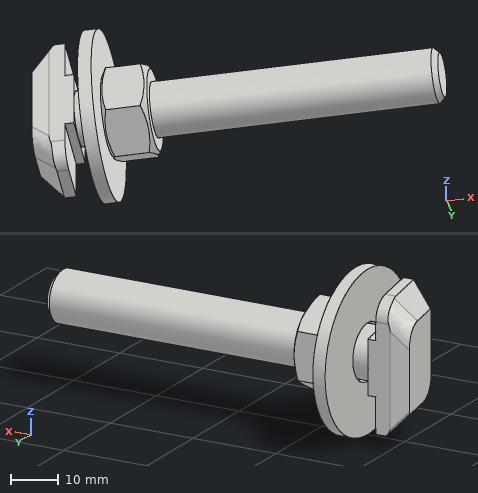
import cadquery as cq
import math

total_length = 87.5
shank_diameter = 12.0
shank_end_chamfer = 1.2

head_width = shank_diameter
head_length = 31.5
head_thickness = 7.4
end_skew = math.tan(math.radians(10))
end_taper_depth = 4.9
end_taper_height = 5.0
side_taper_depth = 4.0
side_taper_width = 1.2
head_corner_radius = 5.0
taper_edge_radius = 0.5

neck_length = 14.7
neck_end = 9.4

washer_diameter = 37.0
washer_hole_diameter = 13.0
washer_start = 12.7
washer_thickness = 3.0
nut_start = washer_start + washer_thickness
nut_thickness = 10.0
nut_across_flats = 19.0
nut_across_corners = nut_across_flats / math.cos(math.radians(30))
nut_face_diameter = 17.5
nut_chamfer_slope = math.tan(math.radians(30))


def cylinder(diameter, start, length):
    return cq.Workplane("YZ", origin=(start, 0, 0)).circle(diameter / 2).extrude(length)


def skewed_outline(half_width, middle_half_length):
    """Parallelogram in Y and Z whose ends rise towards -Y."""
    skew_rise = half_width * end_skew
    return [
        (-half_width, middle_half_length + skew_rise),
        (half_width, middle_half_length - skew_rise),
        (half_width, -middle_half_length - skew_rise),
        (-half_width, -middle_half_length + skew_rise),
    ]


def skewed_block(length, start, end):
    """Prism with the skewed outline; length is measured between the sharp corners."""
    half_width = head_width / 2
    outline = skewed_outline(half_width, length / 2 - half_width * end_skew)
    return cq.Workplane("YZ", origin=(start, 0, 0)).polyline(outline).close().extrude(end - start)


def lengthwise_edges(block, blunt):
    """Edges where the skewed ends meet the sides at an obtuse (blunt) or an acute angle."""

    def is_wanted(edge):
        runs_lengthwise = edge.BoundingBox().xlen > head_thickness / 2
        center = edge.Center()
        return runs_lengthwise and (center.y * center.z > 0) == blunt

    return block.newObject([edge for edge in block.edges().vals() if is_wanted(edge)])


def round_blunt_corners(block):
    return lengthwise_edges(block, blunt=True).fillet(head_corner_radius)


def make_taper():
    """Skewed frustum that widens from the head face through the full head thickness."""
    face_half_width = head_width / 2 - side_taper_width
    face_half_length = head_length / 2 - head_width / 2 * end_skew - end_taper_height
    back_half_width = face_half_width + side_taper_width * head_thickness / side_taper_depth
    back_half_length = face_half_length + end_taper_height * head_thickness / end_taper_depth
    return (
        cq.Workplane("YZ")
        .polyline(skewed_outline(face_half_width, face_half_length))
        .close()
        .workplane(offset=head_thickness)
        .polyline(skewed_outline(back_half_width, back_half_length))
        .close()
        .loft(ruled=True)
    )


def make_head():
    """The straight block limits the frustum, leaving tapers only near the head face."""
    block = round_blunt_corners(skewed_block(head_length, 0, head_thickness))
    taper = round_blunt_corners(make_taper())
    taper = lengthwise_edges(taper, blunt=False).fillet(taper_edge_radius)
    return block.intersect(taper)


def make_nut():
    """Hexagon nut with corners towards +Z and -Z, both faces chamfered."""
    hexagon = (
        cq.Workplane("YZ", origin=(nut_start, 0, 0))
        .polygon(6, nut_across_corners)
        .extrude(nut_thickness)
        .rotate((0, 0, 0), (1, 0, 0), 90)
    )
    face_radius = nut_face_diameter / 2
    corner_radius = nut_across_corners / 2
    chamfer_depth = (corner_radius - face_radius) * nut_chamfer_slope
    nut_end = nut_start + nut_thickness
    profile = [
        (nut_start, 0),
        (nut_start, face_radius),
        (nut_start + chamfer_depth, corner_radius),
        (nut_end - chamfer_depth, corner_radius),
        (nut_end, face_radius),
        (nut_end, 0),
    ]
    envelope = cq.Workplane("XY").polyline(profile).close().revolve(360, (0, 0, 0), (1, 0, 0))
    return hexagon.intersect(envelope)


def make_washer():
    disc = cylinder(washer_diameter, washer_start, washer_thickness)
    return disc.cut(cylinder(washer_hole_diameter, washer_start, washer_thickness))


shank = cylinder(shank_diameter, head_thickness, total_length - head_thickness)
shank = shank.faces(">X").chamfer(shank_end_chamfer)
neck = skewed_block(neck_length, head_thickness, neck_end)

result = make_head().union(neck).union(shank).union(make_washer()).union(make_nut())